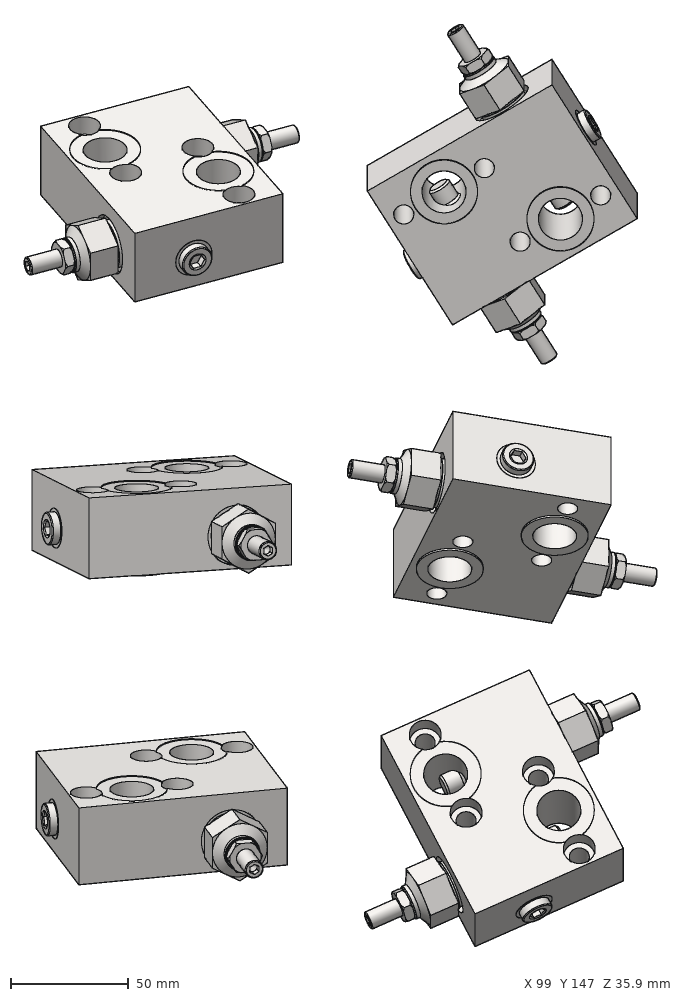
import cadquery as cq
import math

block_length = 91.7
block_width = 70.0
block_height = 35.0

port_spacing = 36.0
port_offset = port_spacing / 2
port_bore_diameter = 18.7
port_recess_diameter = 30.1
port_recess_depth = 0.5
seal_ring_diameter = 28.5
seal_ring_height = 0.9

bolt_spacing = 40.0
bolt_hole_diameter = 8.5
bolt_head_diameter = 13.5
bolt_head_depth = 8.8

valve_offset = 21.0
valve_height = 14.5
valve_span = 147.0
valve_reach = valve_span / 2
valve_seat_diameter = 26.0
valve_seat_depth = 3.0
collar_diameter = 21.0
collar_length = 1.6
flange_diameter = 22.0
flange_length = 1.2
body_across_flats = 24.1
body_length = 13.1
shoulder_diameter = 15.3
shoulder_cone_length = 2.6
shoulder_length = 1.8
neck_diameter = 14.4
neck_length = 0.6
locknut_across_flats = 13.2
locknut_diameter = shoulder_diameter
locknut_length = 4.3
locknut_chamfer = 0.7
stem_diameter = 8.0
stem_chamfer = 0.5
stem_socket_across_flats = 4.0
stem_socket_depth = 3.0
stem_socket_tip = 1.2
nose_diameter = 10.0
nose_tip_position = 17.6
nose_chamfer = 0.9
nose_flare_position = 9.8
nose_flare_diameter = 14.0

plug_offset = 7.0
plug_span = 99.0
plug_reach = plug_span / 2
plug_diameter = 14.0
plug_chamfer = 0.5
plug_seat_diameter = 17.0
plug_seat_depth = 0.1
plug_socket_across_flats = 6.0
plug_socket_depth = 4.4
plug_countersink_diameter = 8.0
plug_countersink_depth = 0.5

front_face = -block_width / 2
left_face = -block_length / 2


def hex_across_corners(across_flats):
    return across_flats / math.cos(math.radians(30))


def half_turn(shape):
    """The same shape turned half a revolution about the Z axis."""
    return shape.rotate((0, 0, 0), (0, 0, 1), 180)


def front_plane(y):
    """Plane across the front valve axis, with its normal pointing outward along -Y."""
    return cq.Workplane(cq.Plane((valve_offset, y, valve_height), (1, 0, 0), (0, -1, 0)))


def left_plane(x):
    """Plane across the left plug axis, with its normal pointing outward along -X."""
    return cq.Workplane(cq.Plane((x, plug_offset, valve_height), (0, 1, 0), (-1, 0, 0)))


def cone(plane, base_diameter, top_diameter, length):
    return (
        plane.circle(base_diameter / 2)
        .workplane(offset=length)
        .circle(top_diameter / 2)
        .loft()
    )


def make_block():
    return cq.Workplane("XY").box(block_length, block_width, block_height, centered=(True, True, False))


def make_seal_ring():
    ring = cq.Workplane("XY", origin=(port_offset, port_offset, -seal_ring_height))
    return ring.circle(seal_ring_diameter / 2).extrude(seal_ring_height)


def make_port_cut():
    top = cq.Workplane("XY", origin=(port_offset, port_offset, block_height))
    bolt_points = [(-bolt_spacing / 2, 0), (bolt_spacing / 2, 0)]
    through = -(block_height + seal_ring_height)
    cut = top.circle(port_bore_diameter / 2).extrude(through)
    cut = cut.union(top.circle(port_recess_diameter / 2).extrude(-port_recess_depth))
    cut = cut.union(top.pushPoints(bolt_points).circle(bolt_hole_diameter / 2).extrude(through))
    return cut.union(top.pushPoints(bolt_points).circle(bolt_head_diameter / 2).extrude(-bolt_head_depth))


def make_seat_cut():
    """Round recesses around the front valve and the left plug."""
    valve_seat = front_plane(front_face).circle(valve_seat_diameter / 2).extrude(-valve_seat_depth)
    plug_seat = left_plane(left_face).circle(plug_seat_diameter / 2).extrude(-plug_seat_depth)
    return valve_seat.union(plug_seat)


def make_locknut(y):
    nut = front_plane(y).polygon(6, hex_across_corners(locknut_across_flats)).extrude(locknut_length)
    chamfered_disc = front_plane(y).circle(locknut_diameter / 2).extrude(locknut_length)
    chamfered_disc = chamfered_disc.faces("<Y or >Y").chamfer(locknut_chamfer)
    return nut.intersect(chamfered_disc)


def make_nose():
    """Valve tip that crosses the port bore and flares out towards the block."""
    flare_length = (nose_flare_diameter - nose_diameter) / 2
    flare_end = nose_flare_position - flare_length
    root = front_face + valve_seat_depth
    tip = front_plane(nose_tip_position).circle(nose_diameter / 2).extrude(nose_tip_position - root)
    tip = tip.faces(">Y").chamfer(nose_chamfer)
    flare = cone(front_plane(nose_flare_position), nose_diameter, nose_flare_diameter, flare_length)
    shank = front_plane(flare_end).circle(nose_flare_diameter / 2).extrude(flare_end - root)
    return tip.union(flare).union(shank)


def make_collar():
    """Round root that rises from the seat, with a wider flange under the hexagon body."""
    seat = front_face + valve_seat_depth
    root_length = valve_seat_depth + collar_length
    flange_start = front_face - collar_length + flange_length
    root = front_plane(seat).circle(collar_diameter / 2).extrude(root_length)
    flange = front_plane(flange_start).circle(flange_diameter / 2).extrude(flange_length)
    return root.union(flange)


def upright_hexagon(y, across_flats, length):
    """Hexagon on the valve axis with two corners pointing up and down."""
    hexagon = front_plane(y).polygon(6, hex_across_corners(across_flats)).extrude(length)
    return hexagon.rotate((valve_offset, 0, valve_height), (valve_offset, 1, valve_height), 90)


def make_stem(root):
    stem = front_plane(root).circle(stem_diameter / 2).extrude(root + valve_reach)
    stem = stem.faces("<Y").chamfer(stem_chamfer)
    socket = upright_hexagon(-valve_reach, stem_socket_across_flats, -stem_socket_depth)
    socket_tip = cq.Solid.makeCone(
        stem_socket_across_flats / 2,
        0,
        stem_socket_tip,
        pnt=cq.Vector(valve_offset, stem_socket_depth - valve_reach, valve_height),
        dir=cq.Vector(0, 1, 0),
    )
    return stem.cut(socket).cut(cq.Workplane(socket_tip))


def make_valve():
    body_start = front_face - collar_length
    body_end = body_start - body_length
    body = upright_hexagon(body_start, body_across_flats, body_length)

    shoulder_start = body_end - shoulder_cone_length
    shoulder_cone = cone(front_plane(body_end), body_across_flats, shoulder_diameter, shoulder_cone_length)
    shoulder = front_plane(shoulder_start).circle(shoulder_diameter / 2).extrude(shoulder_length)

    neck_start = shoulder_start - shoulder_length
    neck = front_plane(neck_start).circle(neck_diameter / 2).extrude(neck_length)

    locknut_start = neck_start - neck_length
    locknut = make_locknut(locknut_start)
    stem = make_stem(locknut_start - locknut_length)

    valve = make_nose()
    for piece in (make_collar(), body, shoulder_cone, shoulder, neck, locknut, stem):
        valve = valve.union(piece)
    return valve


def make_plug():
    root = left_face + plug_seat_depth
    head = left_plane(root).circle(plug_diameter / 2).extrude(root + plug_reach)
    head = head.faces("<X").chamfer(plug_chamfer)
    end = left_plane(-plug_reach)
    socket_corners = hex_across_corners(plug_socket_across_flats)
    socket = end.polygon(6, socket_corners).extrude(-plug_socket_depth)
    countersink = cone(end, plug_countersink_diameter, plug_socket_across_flats, -plug_countersink_depth)
    return head.cut(socket).cut(countersink)


port_cut = make_port_cut()
seat_cut = make_seat_cut()
seal_ring = make_seal_ring()
valve = make_valve()
plug = make_plug()

result = make_block()
result = result.union(seal_ring).union(half_turn(seal_ring))
for cut in (port_cut, seat_cut):
    result = result.cut(cut).cut(half_turn(cut))
for fitting in (valve, plug):
    result = result.union(fitting).union(half_turn(fitting))